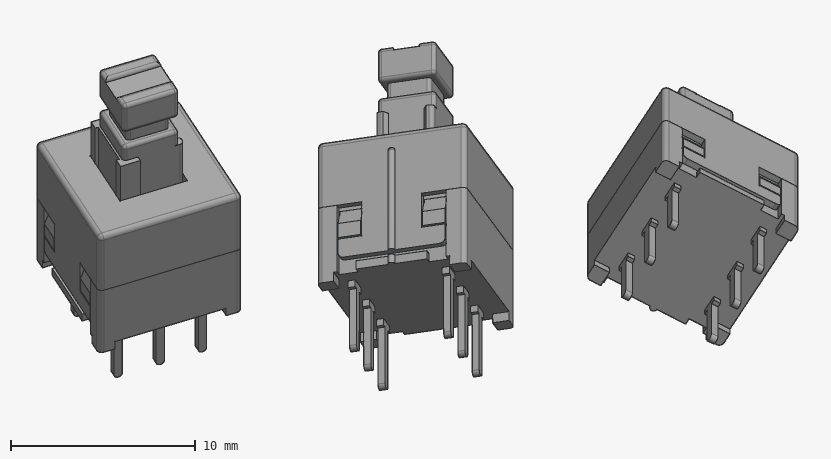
import cadquery as cq
import math

total_height = 18.5
side = 8.5
plunger_rise = 6.5
pin_drop = 3.5
body_height = total_height - plunger_rise - pin_drop
half_side = side / 2
edge_radius = 0.3

seam_z = body_height - 3.95
foot_height = 0.54
foot_width = 0.95
recess_half_width = 3.1
recess_depth = 0.37
bar_half_width = 2.02
bar_height = 0.5

clearance = 0.05
tongue_half_width = recess_half_width - clearance
tongue_neck_half_width = 1.7
tongue_bottom_z = body_height - 7.15
tongue_shoulder_z = body_height - 6.01
tongue_corner_radius = 0.3

hook_inner_x = tongue_neck_half_width + clearance
hook_bottom_z = body_height - 5.92
hook_ramp_z = body_height - 5.07
hook_top_z = body_height - 4.18

rib_rise = 0.2
rib_top_z = body_height - 0.96

opening_side = 4.0
guide_clearance = 0.04
half_guide = opening_side / 2 - guide_clearance
head_side = 3.3
half_head = head_side / 2
neck_side = 2.52
plunger_radius = 0.22
head_height = 2.0
neck_height = 1.0
collar_height = 1.02
ridge_width = 0.92
guide_height = plunger_rise - head_height - neck_height - collar_height
guide_top_z = body_height + guide_height
collar_top_z = guide_top_z + collar_height
neck_top_z = collar_top_z + neck_height
pad_half_width = 1.4
pad_setback = 0.18
block_length = 1.18
back_rib_inner_x = 1.02
back_rib_slant = 0.2
back_rib_radius = 0.24

pin_thickness = 0.4
pin_width = 0.5
pin_shoulder_width = 1.0
pin_shoulder_height = 0.4
pin_row_x = 2.68
pin_pitch = 2.5


def block(x0, x1, y0, y1, z0, z1):
    """Box between two opposite corners."""
    return cq.Workplane("XY").box(x1 - x0, y1 - y0, z1 - z0, centered=False).translate((x0, y0, z0))


def centred_block(width, z0, z1):
    """Square block standing on the z axis."""
    return block(-width / 2, width / 2, -width / 2, width / 2, z0, z1)


def front_and_back(front):
    """A front feature together with its copy turned to the back."""
    return front.union(front.rotate((0, 0, 0), (0, 0, 1), 180))


def back_post(z0, z1):
    """Round vertical post centred on the back face, so that half of it stands out."""
    return cq.Workplane("XY", origin=(0, half_side, z0)).circle(rib_rise).extrude(z1 - z0)


def make_hook():
    """Right-hand front snap hook: flat front with a ramp above."""
    floor_y = recess_depth - half_side
    profile = [
        (floor_y, hook_bottom_z),
        (-half_side, hook_bottom_z),
        (-half_side, hook_ramp_z),
        (floor_y, hook_top_z),
    ]
    length = tongue_half_width - hook_inner_x
    return cq.Workplane("YZ", origin=(hook_inner_x, 0, 0)).polyline(profile).close().extrude(length)


def make_base():
    base = centred_block(side, 0, seam_z).edges("|Z").fillet(edge_radius)

    gap = half_side - foot_width
    base = base.cut(block(-gap, gap, -half_side, half_side, 0, foot_height))
    base = base.cut(block(-half_side, half_side, -gap, gap, 0, foot_height))

    floor_y = recess_depth - half_side
    recess = block(-recess_half_width, recess_half_width, -half_side, floor_y, 0, seam_z)
    base = base.cut(front_and_back(recess))

    bar = block(-bar_half_width, bar_half_width, -half_side, floor_y,
                foot_height, foot_height + bar_height)
    base = base.union(front_and_back(bar))

    hook = make_hook()
    base = base.union(front_and_back(hook.union(hook.mirror("YZ"))))

    return base.union(back_post(foot_height, foot_height + bar_height))


def make_tongue():
    """Front tongue: narrow neck beside the hooks, wide foot below them."""
    floor_y = recess_depth - half_side
    neck = block(-tongue_neck_half_width, tongue_neck_half_width, -half_side, floor_y,
                 tongue_bottom_z, seam_z)
    foot = block(-tongue_half_width, tongue_half_width, -half_side, floor_y,
                 tongue_bottom_z, tongue_shoulder_z)
    foot = foot.edges("|Y and <Z").fillet(tongue_corner_radius)
    return neck.union(foot)


def make_cover():
    cover = centred_block(side, seam_z, body_height)
    cover = cover.edges("|Z or >Z").fillet(edge_radius)
    cover = cover.union(front_and_back(make_tongue()))
    cover = cover.cut(centred_block(opening_side, seam_z, body_height))

    dome_z = rib_top_z - rib_rise
    dome = cq.Workplane("XY", origin=(0, half_side, dome_z)).sphere(rib_rise)
    return cover.union(back_post(tongue_bottom_z, dome_z)).union(dome)


def make_head():
    """Button head with two rounded ridges along y."""
    top = neck_top_z + head_height
    head = centred_block(head_side, neck_top_z, top).edges().fillet(plunger_radius)
    floor = top - plunger_radius
    foot_x = half_head - ridge_width
    lip_x = foot_x + plunger_radius
    inset = plunger_radius * (1 - math.sqrt(0.5))
    groove = (
        cq.Workplane("XZ", origin=(0, half_head, 0))
        .moveTo(-foot_x, floor)
        .lineTo(foot_x, floor)
        .threePointArc((foot_x + inset, top - inset), (lip_x, top))
        .lineTo(-lip_x, top)
        .threePointArc((-foot_x - inset, top - inset), (-foot_x, floor))
        .close()
        .extrude(head_side)
    )
    return head.cut(groove)


def make_back_rib():
    """Right-hand guide rib on the back of the stem, with a slanted inner side."""
    outline = [
        (back_rib_inner_x, half_head),
        (back_rib_inner_x + back_rib_slant, half_guide),
        (half_head, half_guide),
        (half_head, 0),
        (back_rib_inner_x, 0),
    ]
    guide = cq.Workplane("XY", origin=(0, 0, seam_z)).polyline(outline).close()
    guide = guide.extrude(guide_top_z - seam_z)
    return guide.edges("|Z and >X and >Y").fillet(back_rib_radius)


def make_plunger():
    plunger = make_head()

    neck = centred_block(neck_side, collar_top_z, neck_top_z).edges("|Z").fillet(plunger_radius)
    collar = centred_block(head_side, seam_z, collar_top_z)
    collar = collar.edges("|Z or >Z").fillet(plunger_radius)
    plunger = plunger.union(neck).union(collar)

    back_y = block_length - half_guide
    guides = block(-half_guide, half_guide, -half_guide, back_y, seam_z, guide_top_z)
    guides = guides.cut(block(-pad_half_width, pad_half_width, -half_guide,
                              pad_setback - half_guide, seam_z, guide_top_z))
    back_rib = make_back_rib()
    return plunger.union(guides).union(back_rib).union(back_rib.mirror("YZ"))


def make_pin(x, y):
    """Flat pin with a shoulder under the base and a round tip."""
    tip_radius = pin_width / 2
    half_shoulder = pin_shoulder_width / 2
    shoulder_z = foot_height - pin_shoulder_height
    tip_z = -pin_drop + tip_radius
    return (
        cq.Workplane("YZ", origin=(x - pin_thickness / 2, y, 0))
        .moveTo(-half_shoulder, foot_height)
        .lineTo(-half_shoulder, shoulder_z)
        .lineTo(-tip_radius, shoulder_z)
        .lineTo(-tip_radius, tip_z)
        .threePointArc((0, -pin_drop), (tip_radius, tip_z))
        .lineTo(tip_radius, shoulder_z)
        .lineTo(half_shoulder, shoulder_z)
        .lineTo(half_shoulder, foot_height)
        .close()
        .extrude(pin_thickness)
    )


base = make_base()
cover = make_cover()
plunger = make_plunger()
pins = []
for row_x in (-pin_row_x, pin_row_x):
    for step in (-1, 0, 1):
        pins.append(make_pin(row_x, step * pin_pitch).val())

result = cq.Compound.makeCompound([base.val(), cover.val(), plunger.val(), *pins])